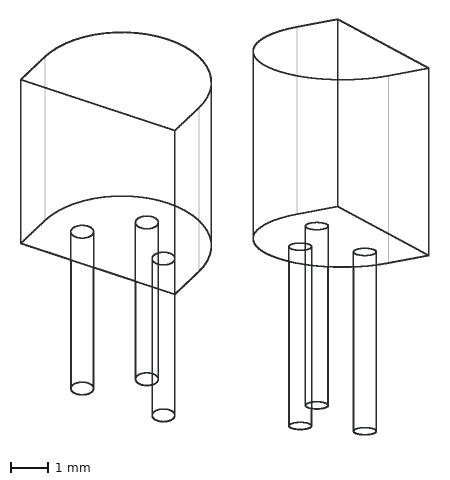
import cadquery as cq

total_height = 10.43
case_width = 4.83
case_depth = 3.69
case_height = 5.33

lead_diameter = 0.62
lead_pitch = 1.27
outer_lead_y = 0.05
middle_lead_y = outer_lead_y + lead_pitch

case_radius = case_width / 2
flat_y = case_radius - case_depth
lead_length = total_height - case_height


def make_case():
    """D-shaped case standing on Z = 0, its round side centred on the Z axis."""
    return (
        cq.Workplane("XY")
        .moveTo(-case_radius, flat_y)
        .lineTo(case_radius, flat_y)
        .lineTo(case_radius, 0)
        .threePointArc((0, case_radius), (-case_radius, 0))
        .close()
        .extrude(case_height)
    )


def make_lead(x, y):
    """Round lead hanging from the underside of the case."""
    return cq.Workplane("XY").center(x, y).circle(lead_diameter / 2).extrude(-lead_length)


case = make_case()

lead_positions = [
    (-lead_pitch, outer_lead_y),
    (0, middle_lead_y),
    (lead_pitch, outer_lead_y),
]
leads = [make_lead(x, y).val() for x, y in lead_positions]

result = cq.Compound.makeCompound([case.val(), *leads])